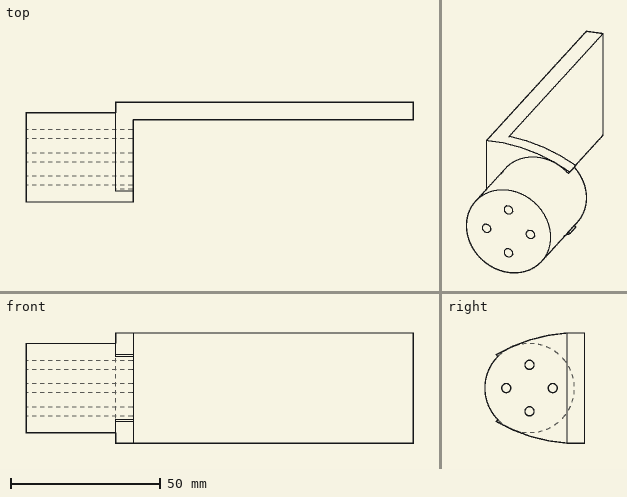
import cadquery as cq
import math

length = 130.0
height = 37.0
depth = 33.5

boss_diameter = 30.0
boss_length = 36.0
hole_diameter = 3.0
hole_count = 4
hole_circle_radius = 7.8

thickness = 6.0
flange_tip_radius = 15.9
flange_tip_angle = math.radians(45)
flange_arc_bulge = 1.4

plate_back = depth - boss_diameter / 2
plate_front = plate_back - thickness
flange_start = boss_length - thickness


def make_boss():
    return cq.Workplane("YZ").circle(boss_diameter / 2).extrude(boss_length)


def make_plate():
    return cq.Workplane("XY").box(
        length - flange_start, thickness, height, centered=(False, False, True)
    ).translate((flange_start, plate_front, 0))


def make_flange():
    """Curved-sided flange whose radial end faces run in to the boss axis."""
    tip_y = -flange_tip_radius * math.cos(flange_tip_angle)
    tip_z = flange_tip_radius * math.sin(flange_tip_angle)
    run = plate_front - tip_y
    drop = height / 2 - tip_z
    chord = math.hypot(run, drop)
    middle_y = (plate_front + tip_y) / 2 - flange_arc_bulge * drop / chord
    middle_z = (height / 2 + tip_z) / 2 + flange_arc_bulge * run / chord
    return (
        cq.Workplane("YZ", origin=(flange_start, 0, 0))
        .moveTo(plate_back, -height / 2)
        .lineTo(plate_back, height / 2)
        .lineTo(plate_front, height / 2)
        .threePointArc((middle_y, middle_z), (tip_y, tip_z))
        .lineTo(0, 0)
        .lineTo(tip_y, -tip_z)
        .threePointArc((middle_y, -middle_z), (plate_front, -height / 2))
        .close()
        .extrude(thickness)
    )


def make_holes():
    return (
        cq.Workplane("YZ")
        .polarArray(hole_circle_radius, 0, 360, hole_count)
        .circle(hole_diameter / 2)
        .extrude(boss_length)
    )


result = make_plate().union(make_flange()).union(make_boss()).cut(make_holes()).clean()